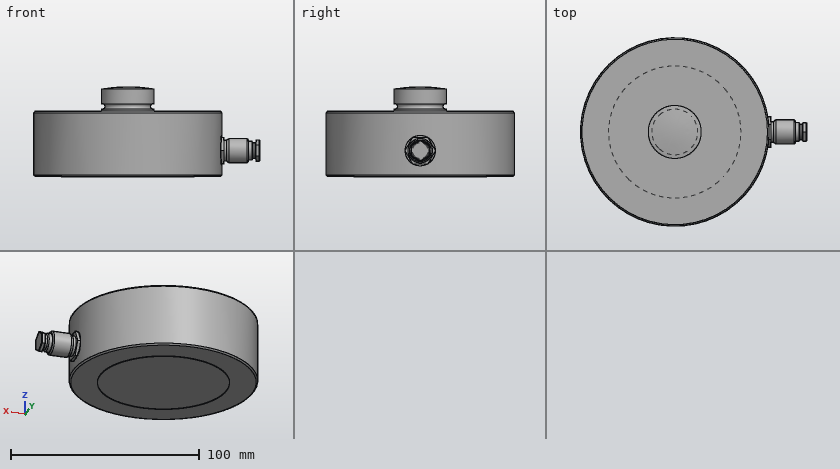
import cadquery as cq
import math

total_length = 120.0
total_height = 47.9
housing_diameter = 100.0
housing_radius = housing_diameter / 2

pad_radius = 35.0
pad_height = 0.4
drum_top = 34.9
drum_chamfer = 0.8

button_radius = 14.0
collar_top = 36.0
cap_bottom = 38.9
dome_height = 1.2
cap_top = total_height - dome_height
groove_radius = (cap_bottom - collar_top) / 2
groove_floor_radius = 12.1
groove_mouth_radius = groove_floor_radius + groove_radius

gland_height = 14.0
seat_x = 49.2
spotface_radius = 8.0
flange_end = 50.9
flange_across_flats = 14.0
neck_end = 52.3
neck_radius = 5.5
shoulder_x = 53.0
shoulder_radius = 6.1
sleeve_start = 53.8
sleeve_end = 63.2
sleeve_radius = 6.5
sleeve_chamfer = 0.7
collet_end = 65.8
collet_radius = 5.0
waist_start = 66.4
waist_end = 67.5
waist_radius = 4.2
nut_start = 68.0
nut_face_radius = 4.8
nut_end = total_length - housing_radius
nut_across_flats = 10.0
nut_chamfer = 0.4


def hexagon_bar(start_x, end_x, across_flats, turn):
    """Hexagonal bar along X; a turn of 0 puts two corners on the Y direction."""
    across_corners = across_flats / math.cos(math.pi / 6)
    return (
        cq.Workplane("YZ", origin=(start_x, 0, gland_height))
        .transformed(rotate=(0, 0, turn))
        .polygon(6, across_corners)
        .extrude(end_x - start_x)
    )


def make_drum():
    pad = cq.Workplane("XY").circle(pad_radius).extrude(pad_height)
    drum = (
        cq.Workplane("XY", origin=(0, 0, pad_height))
        .circle(housing_radius)
        .extrude(drum_top - pad_height)
        .edges()
        .chamfer(drum_chamfer)
    )
    return drum.union(pad)


def make_button():
    """Domed button with a round groove between its collar and its cap."""
    dome_radius = (button_radius**2 + dome_height**2) / (2 * dome_height)
    half_angle = math.asin(button_radius / dome_radius) / 2
    dome_middle = (
        dome_radius * math.sin(half_angle),
        total_height - dome_radius * (1 - math.cos(half_angle)),
    )
    groove_middle = (groove_floor_radius, (collar_top + cap_bottom) / 2)
    return (
        cq.Workplane("XZ")
        .moveTo(0, drum_top)
        .lineTo(button_radius, drum_top)
        .lineTo(button_radius, collar_top)
        .lineTo(groove_mouth_radius, collar_top)
        .threePointArc(groove_middle, (groove_mouth_radius, cap_bottom))
        .lineTo(button_radius, cap_bottom)
        .lineTo(button_radius, cap_top)
        .threePointArc(dome_middle, (0, total_height))
        .close()
        .revolve(360, (0, 0, 0), (0, 1, 0))
    )


def make_housing():
    """Drum and load button in one piece, with a flat spotface for the gland."""
    spotface = (
        cq.Workplane("YZ", origin=(seat_x, 0, gland_height))
        .circle(spotface_radius)
        .extrude(housing_radius - seat_x)
    )
    flange_seat = hexagon_bar(seat_x, flange_end, flange_across_flats, 0)
    return make_drum().union(make_button()).cut(spotface).cut(flange_seat)


def make_gland():
    """Cable gland: hexagonal flange, turned sleeve and hexagonal clamping nut."""
    turned_outline = [
        (flange_end, 0),
        (flange_end, neck_radius),
        (neck_end, neck_radius),
        (shoulder_x, shoulder_radius),
        (sleeve_start, sleeve_radius),
        (sleeve_end, sleeve_radius),
        (sleeve_end + sleeve_chamfer, sleeve_radius - sleeve_chamfer),
        (sleeve_end + sleeve_chamfer, collet_radius),
        (collet_end, collet_radius),
        (waist_start, waist_radius),
        (waist_end, waist_radius),
        (nut_start, nut_face_radius),
        (nut_start, 0),
    ]
    turned_body = (
        cq.Workplane("XZ", origin=(0, 0, gland_height))
        .polyline(turned_outline)
        .close()
        .revolve(360, (0, 0, 0), (1, 0, 0))
    )
    flange = hexagon_bar(seat_x, flange_end, flange_across_flats, 0)
    nut = hexagon_bar(nut_start, nut_end, nut_across_flats, 90).faces(">X").chamfer(nut_chamfer)
    return turned_body.union(flange).union(nut)


housing = make_housing()
gland = make_gland()
result = cq.Compound.makeCompound([housing.val(), gland.val()])